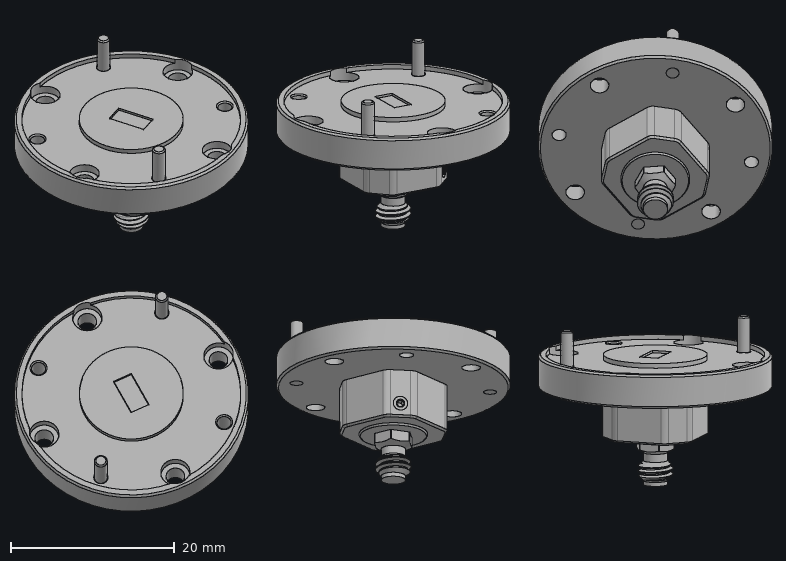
import cadquery as cq
import math


flange_diameter = 28.57
flange_height = 4.15
edge_chamfer = 0.25
rim_inner_diameter = 26.68
face_recess_depth = 0.57
boss_diameter = 12.69
waveguide_length = 4.77
waveguide_width = 2.4
waveguide_depth = 0.29

bolt_circle_radius = 11.9
bolt_hole_diameter = 2.25
counterbore_diameter = 3.57
counterbore_depth = 1.03
guide_hole_diameter = 1.7
guide_hole_chamfer = 0.17

pin_diameter = 1.57
pin_projection = 3.85
pin_tip_chamfer = 0.17
pin_hole_chamfer = 0.09

block_width = 11.6
block_height = 6.03
block_corner_cut = 2.49
block_corner_fillet = 1.25
collar_diameter = 8.4
collar_height = 0.25
collar_taper_angle = 30

hex_width = 4.35
hex_corner_diameter = 4.95
hex_height = 1.7
hex_bevel_angle = math.radians(30)
neck_diameter = 3.0
connector_length = 5.7
thread_start = 2.7
thread_length = 2.49
thread_diameter = 4.4
thread_root_diameter = 3.5
thread_pitch = 0.7
thread_lead_in = 0.37
thread_start_angle = -130
crest_width = 0.09
ridge_width = 0.63
ridge_overlap = 0.05

screw_diameter = 1.77
screw_length = 2.29
screw_axis_height = 1.75
socket_width = 0.8
socket_depth = 1.15
socket_rim_diameter = 1.03

face_z = flange_height - face_recess_depth
block_bottom_z = -block_height
collar_bottom_z = block_bottom_z - collar_height
connector_bottom_z = collar_bottom_z - connector_length
pin_offset = bolt_circle_radius * math.sin(math.radians(45))
bolt_points = [
    (bolt_circle_radius, 0),
    (0, bolt_circle_radius),
    (-bolt_circle_radius, 0),
    (0, -bolt_circle_radius),
]
pin_points = [(-pin_offset, pin_offset), (pin_offset, -pin_offset)]
guide_hole_points = [(pin_offset, pin_offset), (-pin_offset, -pin_offset)]
slanted_face_offset = (block_width - block_corner_cut) / 2


def cylinder(diameter, bottom_z, height):
    return cq.Workplane("XY").workplane(offset=bottom_z).circle(diameter / 2).extrude(height)


def countersinks(points, hole_diameter, chamfer):
    """Countersinks, widening towards the recessed flange face."""
    sink = cq.Solid.makeCone(hole_diameter / 2, hole_diameter / 2 + chamfer, chamfer)
    return cq.Workplane("XY").workplane(offset=face_z - chamfer).pushPoints(points).eachpoint(
        lambda location: sink.moved(location)
    )


def through_holes(points, diameter):
    return cq.Workplane("XY").pushPoints(points).circle(diameter / 2).extrude(flange_height)


def make_flange():
    flange = cylinder(flange_diameter, 0, flange_height).edges().chamfer(edge_chamfer)
    recess = cylinder(rim_inner_diameter, face_z, face_recess_depth)
    flange = flange.cut(recess.cut(cylinder(boss_diameter, face_z, face_recess_depth)))
    waveguide = (
        cq.Workplane("XY").workplane(offset=flange_height)
        .rect(waveguide_length, waveguide_width).extrude(-waveguide_depth)
    )
    counterbores = (
        cq.Workplane("XY").workplane(offset=face_z - counterbore_depth)
        .pushPoints(bolt_points).circle(counterbore_diameter / 2)
        .extrude(counterbore_depth + face_recess_depth)
    )
    flange = flange.cut(waveguide).cut(counterbores)
    flange = flange.cut(through_holes(bolt_points, bolt_hole_diameter))
    flange = flange.cut(through_holes(guide_hole_points, guide_hole_diameter))
    flange = flange.cut(countersinks(guide_hole_points, guide_hole_diameter, guide_hole_chamfer))
    flange = flange.cut(through_holes(pin_points, pin_diameter))
    return flange.cut(countersinks(pin_points, pin_diameter, pin_hole_chamfer))


def make_block():
    block = (
        cq.Workplane("XY").rect(block_width, block_width).extrude(-block_height)
        .edges("|Z").chamfer(block_corner_cut)
        .edges("|Z").fillet(block_corner_fillet)
        .faces("<Z").chamfer(edge_chamfer)
    )
    collar = (
        cq.Workplane("XY").workplane(offset=block_bottom_z)
        .circle(collar_diameter / 2).extrude(-collar_height, taper=collar_taper_angle)
    )
    return block.union(collar)


def make_hex():
    """Hexagon with flats facing +X and -X, its corners turned round and its lower end bevelled."""
    hexagon = (
        cq.Workplane("XY").workplane(offset=collar_bottom_z)
        .polygon(6, hex_width, circumscribed=True).extrude(-hex_height)
    )
    corner_radius = hex_corner_diameter / 2
    neck_radius = neck_diameter / 2
    bevel_height = (corner_radius - neck_radius) * math.tan(hex_bevel_angle)
    bottom_z = collar_bottom_z - hex_height
    turned = (
        cq.Workplane("XZ")
        .moveTo(0, collar_bottom_z)
        .lineTo(corner_radius, collar_bottom_z)
        .lineTo(corner_radius, bottom_z + bevel_height)
        .lineTo(neck_radius, bottom_z)
        .lineTo(0, bottom_z)
        .close()
        .revolve(360, (0, 0, 0), (0, 1, 0))
    )
    return hexagon.intersect(turned)


def make_thread():
    """Right-hand thread: a sharp ridge on a root cylinder, both ends bevelled at 45 degrees."""
    crest_radius = thread_diameter / 2
    root_radius = thread_root_diameter / 2
    bottom_z = collar_bottom_z - thread_start - thread_length
    helix_bottom_z = bottom_z - thread_lead_in
    helix = cq.Wire.makeHelix(
        thread_pitch, thread_length + 2 * thread_lead_in, root_radius, center=cq.Vector(0, 0, helix_bottom_z)
    )
    ridge = (
        cq.Workplane("XZ")
        .moveTo(root_radius - ridge_overlap, helix_bottom_z - ridge_width / 2)
        .lineTo(crest_radius, helix_bottom_z - crest_width / 2)
        .lineTo(crest_radius, helix_bottom_z + crest_width / 2)
        .lineTo(root_radius - ridge_overlap, helix_bottom_z + ridge_width / 2)
        .close()
        .sweep(cq.Workplane(helix), isFrenet=True)
        .rotate((0, 0, 0), (0, 0, 1), thread_start_angle)
    )
    envelope = cylinder(thread_diameter + 2 * ridge_overlap, bottom_z, thread_length)
    envelope = envelope.edges().chamfer(crest_radius + ridge_overlap - neck_diameter / 2)
    root_margin = 2 * thread_pitch
    root = cylinder(thread_root_diameter, bottom_z - root_margin, thread_length + 2 * root_margin)
    return root.union(ridge).intersect(envelope)


def make_connector():
    neck = cylinder(neck_diameter, connector_bottom_z, connector_length)
    return neck.union(make_hex()).union(make_thread())


def screw_plane():
    """Plane on the slanted block face towards -X and -Y, with its normal pointing outwards."""
    side = slanted_face_offset
    return cq.Plane(
        origin=(-side, -side, block_bottom_z + screw_axis_height), xDir=(0, 0, 1), normal=(-1, -1, 0)
    )


def make_screw():
    screw = cq.Workplane(screw_plane()).circle(screw_diameter / 2).extrude(-screw_length)
    socket = cq.Workplane(screw_plane()).polygon(6, socket_width, circumscribed=True).extrude(-socket_depth)
    rim_depth = (socket_rim_diameter - socket_width) / 2
    rim = (
        cq.Workplane(screw_plane()).circle(socket_rim_diameter / 2)
        .workplane(offset=-rim_depth).circle(socket_width / 2).loft()
    )
    return screw.cut(socket).cut(rim)


def make_housing():
    housing = make_flange().union(make_block()).union(make_connector())
    screw_hole = cq.Workplane(screw_plane()).circle(screw_diameter / 2).extrude(-screw_length)
    return housing.cut(screw_hole)


def make_pin(x, y):
    pin = cylinder(pin_diameter, 0, flange_height + pin_projection)
    return pin.faces(">Z").chamfer(pin_tip_chamfer).translate((x, y, 0))


housing = make_housing()
set_screw = make_screw()
pins = [make_pin(x, y) for x, y in pin_points]

result = cq.Compound.makeCompound([housing.val(), set_screw.val(), *[pin.val() for pin in pins]])